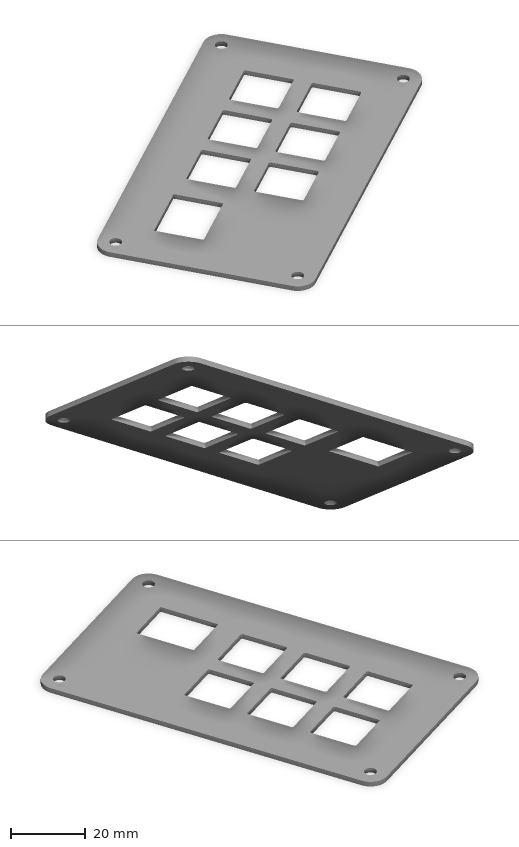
import cadquery as cq

plate_width = 61.2
plate_length = 104.4
plate_thickness = 1.5
plate_corner_radius = 5.0

screw_hole_diameter = 3.4
screw_hole_inset = plate_corner_radius

switch_size = 14.0
switch_corner_radius = 0.5
switch_pitch = 19.05
switch_columns = 2
switch_rows = 3
switch_grid_center = (0.25, 12.0)

lower_cutout_width = 14.0
lower_cutout_length = 17.5
lower_cutout_center = (-10.35, -30.45)


def rounded_block(width, length, corner_radius):
    """Block of plate thickness with rounded vertical edges."""
    block = cq.Workplane("XY").rect(width, length).extrude(plate_thickness)
    return block.edges("|Z").fillet(corner_radius)


def screw_holes():
    """One through hole near each plate corner."""
    spacing_x = plate_width - 2 * screw_hole_inset
    spacing_y = plate_length - 2 * screw_hole_inset
    return (
        cq.Workplane("XY")
        .rect(spacing_x, spacing_y, forConstruction=True)
        .vertices()
        .circle(screw_hole_diameter / 2)
        .extrude(plate_thickness)
    )


def switch_cutouts():
    """Grid of rounded square through cutouts."""
    cutout = rounded_block(switch_size, switch_size, switch_corner_radius).val()
    return (
        cq.Workplane("XY")
        .center(*switch_grid_center)
        .rarray(switch_pitch, switch_pitch, switch_columns, switch_rows)
        .eachpoint(lambda location: cutout.moved(location), combine=False)
    )


def lower_cutout():
    """Single rectangular through cutout."""
    return (
        cq.Workplane("XY")
        .center(*lower_cutout_center)
        .rect(lower_cutout_width, lower_cutout_length)
        .extrude(plate_thickness)
    )


plate = rounded_block(plate_width, plate_length, plate_corner_radius)
result = plate.cut(screw_holes()).cut(switch_cutouts()).cut(lower_cutout())